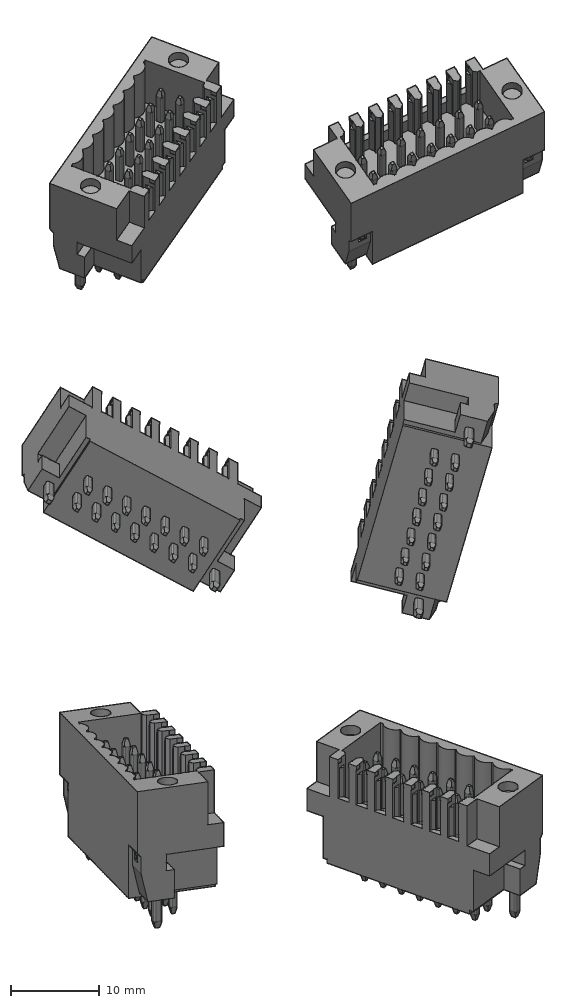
import cadquery as cq

width = 10.5
length = 25.35
height = 14.17
half_length = length / 2

positions = 7
contact_span = 15.23
pitch = contact_span / (positions - 1)
rows_x = (3.72, 6.18)
pin_size = 0.84
pin_round = 0.2
pin_tip = 0.38
pin_top = 12.04
pins_bottom = -3.55
taper_length = 0.9

pocket_x_min = 0.96
pocket_x_max = 8.56
pocket_half_length = 9.15
pocket_floor = 7.02
cusp_half_width = 0.089
scallop_rise = 0.58
mouth_half_width = pitch / 2 - cusp_half_width

post_half_width = 0.5
post_shoulder_x = 8.95
slot_ledge_x = 9.78
slot_ledge_z = 9.07
head_overhang = 0.05
head_height = 0.58
rib_x_min = 9.22
rib_x_max = 10.19
rib_rise = 0.35
rib_top = 12.92

end_notch_x = 8.56
end_notch_z = 8.9
end_notch_length = 3.12
screw_hole_x = 4.33
end_feature_span = 21.82
end_feature_y = end_feature_span / 2
screw_hole_diameter = 2.28
screw_hole_depth = 1.2
centre_block_length = 19.75
foot_y_min = centre_block_length / 2
foot_bottom = 0.48
foot_recess = 0.48
foot_bevel_top = 6.55
foot_taper_top = 3.98
foot_toe_x = 1.3
step_y_min = 10.41
step_top = 5.98
step_x_upper = 3.52
step_x_lower = 4.49

anchor_x = 3.02
anchor_size = 1.01
anchor_round = 0.25
anchor_tip = 0.5
anchor_socket_z = 5.47
anchor_embed = 0.5

pin_ys = [(i - (positions - 1) / 2) * pitch for i in range(positions)]


def box(x_min, x_max, y_min, y_max, z_min, z_max):
    """Box given by its limits along each axis."""
    block = cq.Workplane("XY").box(x_max - x_min, y_max - y_min, z_max - z_min, centered=False)
    return block.translate((x_min, y_min, z_min))


def end_prism(points, y_min):
    """XZ outline carried from y_min out to the +Y end of the housing."""
    prism = cq.Workplane("XZ").polyline(points).close().extrude(y_min - half_length)
    return prism.translate((0, y_min, 0))


def at_both_ends(solid):
    """The solid together with its mirror image at the -Y end."""
    return solid.union(solid.mirror("XZ"))


def tapered_tip(size, tip_size):
    """Square frustum rising from Z = 0 along +Z."""
    base = cq.Workplane("XY").rect(size, size)
    return base.workplane(offset=taper_length).rect(tip_size, tip_size).loft(combine=True)


def shaft(size, corner_round, z_min, z_max):
    """Square pin shaft with rounded long edges."""
    bar = cq.Workplane("XY").rect(size, size).extrude(z_max - z_min)
    return bar.edges("|Z").fillet(corner_round).translate((0, 0, z_min))


def pointed_pin(size, corner_round, tip_size, z_bottom, z_top, pointed_top):
    """Pin shaft with a tapered lower end and, if asked, a tapered upper end."""
    core_bottom = z_bottom + taper_length
    core_top = z_top - taper_length if pointed_top else z_top
    envelope = box(-size / 2, size / 2, -size / 2, size / 2, core_bottom, core_top)
    tip = tapered_tip(size, tip_size)
    envelope = envelope.union(tip.mirror("XY").translate((0, 0, core_bottom)))
    if pointed_top:
        envelope = envelope.union(tip.translate((0, 0, core_top)))
    return shaft(size, corner_round, z_bottom, z_top).intersect(envelope)


def pocket():
    """Mating pocket with one scallop of wall left standing beside each contact."""
    outline = cq.Workplane("XY").moveTo(pocket_x_max, -pocket_half_length)
    outline = outline.lineTo(pocket_x_min, -pocket_half_length)
    for y in pin_ys:
        outline = outline.lineTo(pocket_x_min, y - mouth_half_width).threePointArc(
            (pocket_x_min + scallop_rise, y), (pocket_x_min, y + mouth_half_width)
        )
    outline = outline.lineTo(pocket_x_min, pocket_half_length)
    outline = outline.lineTo(pocket_x_max, pocket_half_length).close()
    return outline.extrude(height - pocket_floor).translate((0, 0, pocket_floor))


def comb_slot():
    """Slot through the comb wall at Y = 0, flared inwards, ribbed, and narrowed at its rim."""
    side = pitch / 2 - post_half_width
    rim_side = side - head_overhang
    rib_peak = side - rib_rise
    flare = [
        (pocket_x_max, -mouth_half_width),
        (post_shoulder_x, -side),
        (width, -side),
        (width, side),
        (post_shoulder_x, side),
        (pocket_x_max, mouth_half_width),
    ]
    slot = cq.Workplane("XY").polyline(flare).close().extrude(height - pocket_floor)
    slot = slot.translate((0, 0, pocket_floor))
    slot = slot.cut(box(slot_ledge_x, width, -side, side, pocket_floor, slot_ledge_z))
    head_bottom = height - head_height
    rib_outline = [(rib_x_min, side), (slot_ledge_x, rib_peak), (rib_x_max, side)]
    rib = cq.Workplane("XY").polyline(rib_outline).close().extrude(rib_top - pocket_floor)
    rib = rib.translate((0, 0, pocket_floor))
    rim_lip = box(slot_ledge_x, width, rim_side, side, head_bottom, height)
    relief = rib.union(rim_lip)
    return slot.cut(relief).cut(relief.mirror("XZ"))


def end_notch():
    """Corner taken off the top of the comb wall."""
    y_min = half_length - end_notch_length
    return box(end_notch_x, width, y_min, half_length, end_notch_z, height)


def foot_relief():
    """Space around the foot: bevelled and tapered in front, open underneath."""
    return end_prism(
        [
            (0, foot_bevel_top),
            (foot_recess, foot_bevel_top - foot_recess),
            (foot_recess, foot_taper_top),
            (foot_toe_x, foot_bottom),
            (width, foot_bottom),
            (width, 0),
            (0, 0),
        ],
        foot_y_min,
    )


def step_relief():
    """Stepped space behind the foot."""
    return end_prism(
        [
            (step_x_upper, step_top),
            (width, step_top),
            (width, foot_bottom),
            (step_x_lower, foot_bottom),
            (step_x_lower, foot_taper_top),
            (step_x_upper, foot_taper_top),
        ],
        step_y_min,
    )


def screw_hole():
    """Blind round hole in the top of the end block."""
    hole = cq.Workplane("XY").circle(screw_hole_diameter / 2).extrude(screw_hole_depth)
    return hole.translate((screw_hole_x, end_feature_y, height - screw_hole_depth))


def anchor_socket():
    """Square socket in the foot, with the tapered anchor tip standing in it flush with the face."""
    half = anchor_size / 2
    socket = box(-half, half, -half, half, 0, taper_length).cut(tapered_tip(anchor_size, anchor_tip))
    socket = socket.rotate((0, 0, 0), (0, 1, 0), -90)
    return socket.translate((foot_recess + taper_length, end_feature_y, anchor_socket_z))


housing = box(0, width, -half_length, half_length, 0, height).cut(pocket())
slot_cutter = comb_slot()
for slot_y in pin_ys:
    housing = housing.cut(slot_cutter.translate((0, slot_y, 0)))
for end_cutter in (end_notch(), foot_relief(), step_relief(), screw_hole(), anchor_socket()):
    housing = housing.cut(at_both_ends(end_cutter))

contact = pointed_pin(pin_size, pin_round, pin_tip, pins_bottom, pin_top, True)
for row_x in rows_x:
    for pin_y in pin_ys:
        housing = housing.union(contact.translate((row_x, pin_y, 0)))

anchor = pointed_pin(
    anchor_size, anchor_round, anchor_tip, pins_bottom, foot_bottom + anchor_embed, False
)
result = housing.union(at_both_ends(anchor.translate((anchor_x, end_feature_y, 0))))